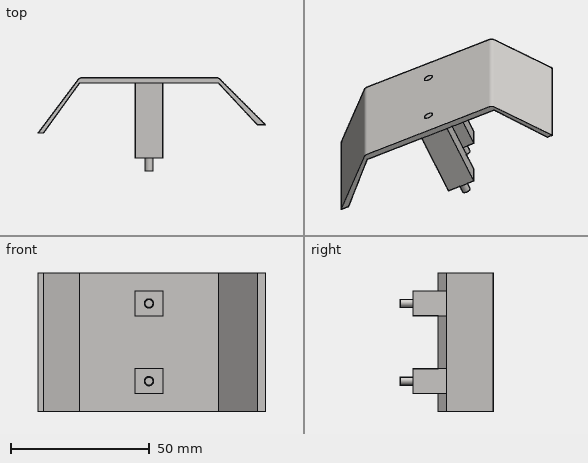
import cadquery as cq

height = 50.0
back_width = 50.0
back_thickness = 2.0
bend_radius = 2.0

left_reach = 15.0
left_depth = 20.0
left_tip_width = 2.0
right_reach = 17.0
right_depth = 17.0
right_tip_width = 3.0

post_width = 10.0
post_height = 9.0
post_end_depth = 29.0
post_spacing = 28.0
post_levels = [height / 2 - post_spacing / 2, height / 2 + post_spacing / 2]

pin_diameter = 3.0
pin_hole_diameter = 3.2
pin_length = 33.65


def forward_cylinder(diameter, length, level):
    """Cylinder from the rear face toward -Y, centred on X = 0 at height `level`."""
    return cq.Workplane("XZ", origin=(0, 0, level)).circle(diameter / 2).extrude(length)


def make_bent_plate():
    bend_x = back_width / 2
    left_tip_x = -bend_x - left_reach
    right_tip_x = bend_x + right_reach
    outline = [
        (left_tip_x, -left_depth),
        (-bend_x, 0),
        (bend_x, 0),
        (right_tip_x, -right_depth),
        (right_tip_x - right_tip_width, -right_depth),
        (bend_x, -back_thickness),
        (-bend_x, -back_thickness),
        (left_tip_x + left_tip_width, -left_depth),
    ]
    plate = cq.Workplane("XY").polyline(outline).close().extrude(height)
    return plate.faces(">Y").edges("|Z").fillet(bend_radius)


def make_post(level):
    post_length = post_end_depth - back_thickness
    return (
        cq.Workplane("XZ", origin=(0, -back_thickness, level))
        .rect(post_width, post_height)
        .extrude(post_length)
    )


def make_bracket():
    """Bent plate and its two posts as one solid, bored through for the pins."""
    body = make_bent_plate()
    for level in post_levels:
        body = body.union(make_post(level))
        body = body.cut(forward_cylinder(pin_hole_diameter, post_end_depth, level))
    return body


def make_pin(level):
    return forward_cylinder(pin_diameter, pin_length, level)


bracket = make_bracket()
pins = [make_pin(level) for level in post_levels]

result = cq.Compound.makeCompound([bracket.val(), *[pin.val() for pin in pins]])